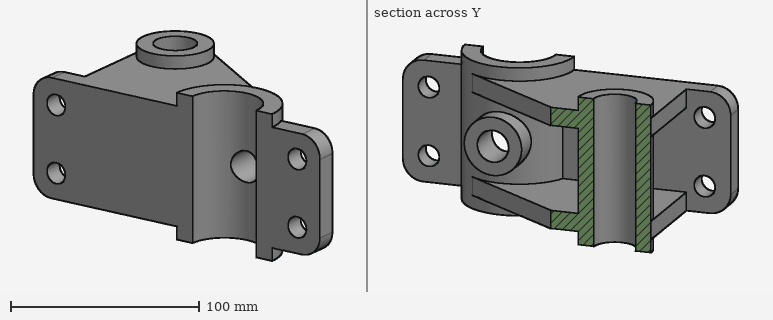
import cadquery as cq
import math


plate_length = 185.45
plate_height = 67.70
plate_thickness = 11.775
plate_corner_radius = plate_thickness
bolt_hole_diameter = 11.775
bolt_edge_distance = 14.72

barrel_length = 82.42
saddle_outer_radius = 30.91
saddle_bore_radius = 20.605
plate_right = 61.82
tube_outer_radius = saddle_bore_radius
tube_bore_radius = 11.775
overall_depth = 86.84
saddle_to_tube_x = 78.01

oil_boss_radius = 16.19
oil_boss_top = 41.21
oil_hole_radius = 8.83

web_thickness = 10.305

plate_left = plate_right - plate_length
plate_center_x = (plate_left + plate_right) / 2
tube_x = -saddle_to_tube_x
tube_y = overall_depth - tube_outer_radius


def z_cylinder(x, y, radius, length):
    """Cylinder along Z, centred on Z = 0."""
    return cq.Workplane("XY", origin=(x, y, -length / 2)).circle(radius).extrude(length)


def y_cylinder(x, z, radius, length):
    """Cylinder along +Y, starting at the mounting face."""
    return cq.Workplane("XZ").center(x, z).circle(radius).extrude(-length)


def make_plate():
    return (
        cq.Workplane("XZ")
        .center(plate_center_x, 0)
        .rect(plate_length, plate_height)
        .extrude(-plate_thickness)
        .edges("|Y")
        .fillet(plate_corner_radius)
    )


def make_saddle():
    return (
        cq.Workplane("XY", origin=(0, 0, -barrel_length / 2))
        .moveTo(-saddle_outer_radius, 0)
        .threePointArc((0, saddle_outer_radius), (saddle_outer_radius, 0))
        .close()
        .extrude(barrel_length)
    )


def make_web(z_bottom):
    """Web whose sloping edge is the common tangent of the tube and the saddle."""
    center_distance = math.hypot(tube_x, tube_y)
    center_angle = math.atan2(tube_y, tube_x)
    radius_difference = saddle_outer_radius - tube_outer_radius
    normal_angle = center_angle - math.acos(radius_difference / center_distance)
    normal_x = math.cos(normal_angle)
    normal_y = math.sin(normal_angle)
    tube_tangent = (
        tube_x + tube_outer_radius * normal_x,
        tube_y + tube_outer_radius * normal_y,
    )
    saddle_tangent = (saddle_outer_radius * normal_x, saddle_outer_radius * normal_y)
    web_left = tube_x - tube_outer_radius
    tube_top = (tube_x, tube_y + tube_outer_radius)
    half_normal_angle = normal_angle / 2
    saddle_arc_middle = (
        saddle_outer_radius * math.cos(half_normal_angle),
        saddle_outer_radius * math.sin(half_normal_angle),
    )
    return (
        cq.Workplane("XY", origin=(0, 0, z_bottom))
        .moveTo(web_left, 0)
        .lineTo(web_left, tube_y)
        .threePointArc(tube_top, tube_tangent)
        .lineTo(*saddle_tangent)
        .threePointArc(saddle_arc_middle, (saddle_outer_radius, 0))
        .close()
        .extrude(web_thickness)
    )


def make_body():
    body = make_plate().union(make_saddle())
    body = body.union(z_cylinder(tube_x, tube_y, tube_outer_radius, barrel_length))
    for z_bottom in (-plate_height / 2, plate_height / 2 - web_thickness):
        body = body.union(make_web(z_bottom))
    return body.union(y_cylinder(0, 0, oil_boss_radius, oil_boss_top))


def cut_bores(body):
    body = body.cut(z_cylinder(0, 0, saddle_bore_radius, barrel_length))
    body = body.cut(z_cylinder(tube_x, tube_y, tube_bore_radius, barrel_length))
    return body.cut(y_cylinder(0, 0, oil_hole_radius, oil_boss_top))


def cut_bolt_holes(body):
    bolt_z = plate_height / 2 - bolt_edge_distance
    for x in (plate_left + bolt_edge_distance, plate_right - bolt_edge_distance):
        for z in (-bolt_z, bolt_z):
            body = body.cut(y_cylinder(x, z, bolt_hole_diameter / 2, plate_thickness))
    return body


result = cut_bolt_holes(cut_bores(make_body()))